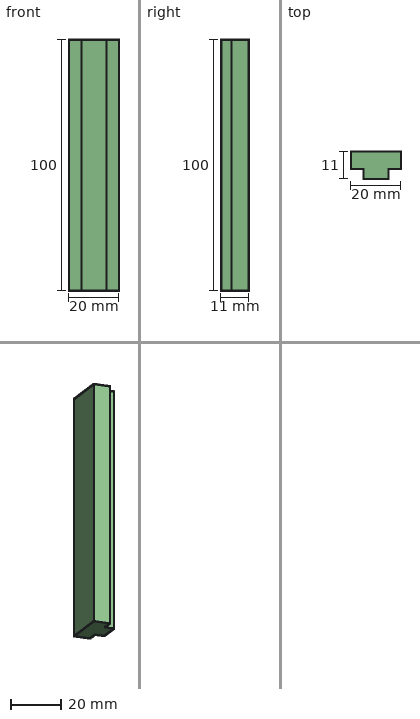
import cadquery as cq

length = 100.0
flange_width = 20.0
flange_thickness = 7.0
total_depth = 11.0
stem_width = 10.0

stem_depth = total_depth - flange_thickness

flange = cq.Workplane("XY").box(
    flange_width, flange_thickness, length, centered=(True, False, False)
)

stem = (
    cq.Workplane("XY")
    .box(stem_width, stem_depth, length, centered=(True, False, False))
    .translate((0, -stem_depth, 0))
)

result = flange.union(stem)